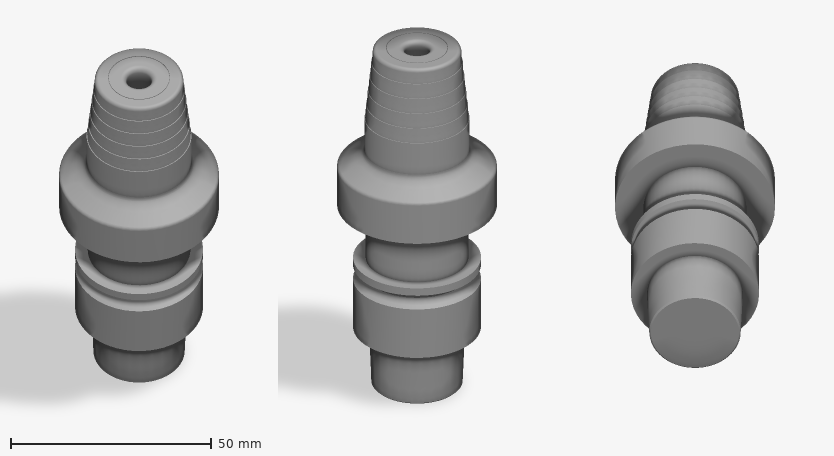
import cadquery as cq
import math

total_length = 95.9
nose_taper_end = 20.0
flange_cone_start = 29.5
flange_end = 45.0
collar_start = 60.0
groove_top = 62.1
groove_floor_start = 63.4
groove_floor_end = 64.35
groove_bottom = 66.1
collar_end = 80.0
shank_taper_start = 81.0

nose_tip_radius = 11.0
nose_radius = 13.1
flange_radius = 40.0 / 2
body_radius = 12.85
collar_radius = 16.0
groove_radius = 13.1
shank_top_radius = 12.0
shank_end_radius = 11.4
nose_round = 1.0
flange_round = 1.0
groove_round = 0.8
shank_chamfer = 0.4

flange_cone_angle = 30.0
flange_cone_height = (flange_radius - nose_radius) * math.tan(math.radians(flange_cone_angle))
flange_rim_start = flange_cone_start + flange_cone_height

step_count = 5
step_width = 0.2
step_length = nose_taper_end / step_count
step_taper = (nose_radius - nose_tip_radius - step_count * step_width) / step_count

bore_radius = 3.2
bore_depth = 38.4
bore_round = 1.3
face_groove_radius = 7.7
face_groove_width = 0.2
face_groove_depth = 0.2


def stepped_nose_points():
    """Radius and depth at both ends of every nose step, tip first."""
    points = []
    for index in range(step_count):
        start_radius = nose_tip_radius + index * (step_taper + step_width)
        points.append((start_radius, index * step_length))
        points.append((start_radius + step_taper, (index + 1) * step_length))
    return points


def revolved(points):
    """Solid of revolution about Z from (radius, depth below nose face) points."""
    profile = [(radius, total_length - depth) for radius, depth in points]
    return cq.Workplane("XZ").polyline(profile).close().revolve(360, (0, 0, 0), (0, 1, 0))


def round_ring(solid, depth, fillet_radius):
    """Fillet the circular edge lying at the given depth below the nose face."""
    height = total_length - depth
    margin = 0.1
    near_edge_centre = cq.selectors.BoxSelector(
        (-margin, -margin, height - margin),
        (margin, margin, height + margin),
    )
    return solid.edges("%CIRCLE").edges(near_edge_centre).fillet(fillet_radius)


outline = [(0, 0)] + stepped_nose_points() + [
    (nose_radius, nose_taper_end),
    (nose_radius, flange_cone_start),
    (flange_radius, flange_rim_start),
    (flange_radius, flange_end),
    (body_radius, flange_end),
    (body_radius, collar_start),
    (collar_radius, collar_start),
    (collar_radius, groove_top),
    (groove_radius, groove_floor_start),
    (groove_radius, groove_floor_end),
    (collar_radius, groove_bottom),
    (collar_radius, collar_end),
    (shank_top_radius, collar_end),
    (shank_top_radius, shank_taper_start),
    (shank_end_radius, total_length),
    (0, total_length),
]
body = revolved(outline)
body = round_ring(body, 0, nose_round)
body = round_ring(body, flange_cone_start, flange_round)
body = round_ring(body, flange_rim_start, flange_round)
body = round_ring(body, groove_floor_start, groove_round)
body = body.faces("<Z").edges().chamfer(shank_chamfer)

body = body.faces(">Z").workplane(origin=(0, 0, 0)).circle(bore_radius).cutBlind(-bore_depth)
body = body.faces(">Z").edges("%CIRCLE").edges(cq.selectors.RadiusNthSelector(0)).fillet(bore_round)

face_groove = (
    cq.Workplane("XY", origin=(0, 0, total_length))
    .circle(face_groove_radius + face_groove_width / 2)
    .circle(face_groove_radius - face_groove_width / 2)
    .extrude(-face_groove_depth)
)
result = body.cut(face_groove)